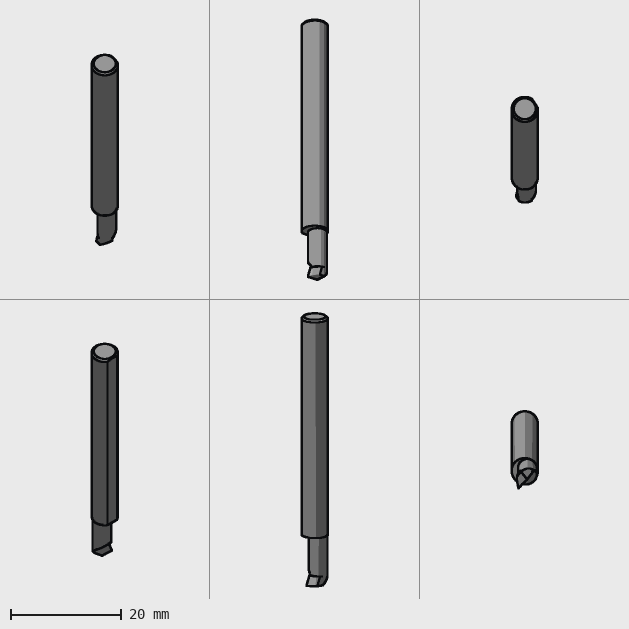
import cadquery as cq

total_length = 50.8

shank_diameter = 4.76
shank_radius = shank_diameter / 2
flat_distance = 2.13
top_chamfer = 0.4

neck_length = 9.6
neck_radius = 1.72
neck_center_x = shank_radius - neck_radius

runout_height = 2.5
corner_height = 1.85

head_height = 2.05
head_depth = neck_radius
head_top_x = neck_center_x - neck_radius
tip_x = -1.69
side_relief = 1.32
side_bulge = 0.09
end_edge_rise = 0.1
end_relief = 0.2
nose_radius = 0.1

clear = 2 * shank_diameter


def make_shank():
    """Round shank, chamfered at the top, with a full-length flat on +Y."""
    shank = (
        cq.Workplane("XY", origin=(0, 0, neck_length))
        .circle(shank_radius)
        .extrude(total_length - neck_length)
        .faces(">Z")
        .chamfer(top_chamfer)
    )
    beyond_flat = cq.Workplane("XY").box(clear, clear, total_length, centered=(True, False, False))
    return shank.cut(beyond_flat.translate((0, flat_distance, 0)))


def make_neck():
    """Offset round neck; beside the head only its +X half remains."""
    neck = cq.Workplane("XY", origin=(neck_center_x, 0, 0)).circle(neck_radius).extrude(neck_length)
    head_space = cq.Workplane("XY").box(clear, clear, head_height, centered=(True, True, False))
    return neck.cut(head_space.translate((neck_center_x - clear / 2, 0, 0)))


def make_rake_cut():
    """Everything behind the rake face, ending in a 45 degree run-out."""
    return (
        cq.Workplane("YZ", origin=(-clear / 2, 0, 0))
        .polyline([(0, 0), (0, runout_height), (clear, runout_height + clear), (clear, 0)])
        .close()
        .extrude(clear)
    )


def add_head_section(workplane, edge_x):
    """Horizontal section of the head, its bowed side starting at edge_x on the rake face."""
    chord_length = (side_relief**2 + head_depth**2) ** 0.5
    bow_point = (
        edge_x + side_relief / 2 - side_bulge * head_depth / chord_length,
        -head_depth / 2 - side_bulge * side_relief / chord_length,
    )
    return (
        workplane.moveTo(edge_x, 0)
        .threePointArc(bow_point, (edge_x + side_relief, -head_depth))
        .lineTo(neck_center_x, -head_depth)
        .lineTo(neck_center_x, 0)
        .close()
    )


def make_head():
    """Cutting head in front of the rake face, its side leaning out towards the tip."""
    bottom = add_head_section(cq.Workplane("XY"), tip_x)
    return add_head_section(bottom.workplane(offset=head_height), head_top_x).loft(ruled=True)


def make_corner_cut():
    """Lower +X corner, removed at 45 degrees."""
    return (
        cq.Workplane("XZ", origin=(0, clear / 2, 0))
        .polyline([(shank_radius, corner_height), (shank_radius, 0), (shank_radius - corner_height, 0)])
        .close()
        .extrude(clear)
    )


def make_end_cut():
    """Material under the end face, which rises from the tip to +X and to the front."""
    slope_x = end_edge_rise / (shank_radius - corner_height - tip_x)
    slope_y = -end_relief / head_depth
    end_plane = cq.Plane(origin=(tip_x, 0, 0), xDir=(1, 0, slope_x), normal=(-slope_x, -slope_y, 1))
    return cq.Workplane(end_plane).rect(clear, clear).extrude(-clear)


def round_nose(bar):
    """Rounds the edge between the end face and the side face of the head."""
    tip_region = cq.selectors.BoxSelector(
        (tip_x, -head_depth, 0),
        (tip_x + side_relief, -head_depth / 4, head_height / 4),
    )
    return bar.edges(tip_region).fillet(nose_radius)


bar = make_shank().union(make_neck()).cut(make_rake_cut()).union(make_head())
bar = bar.cut(make_corner_cut()).cut(make_end_cut())
result = round_nose(bar)